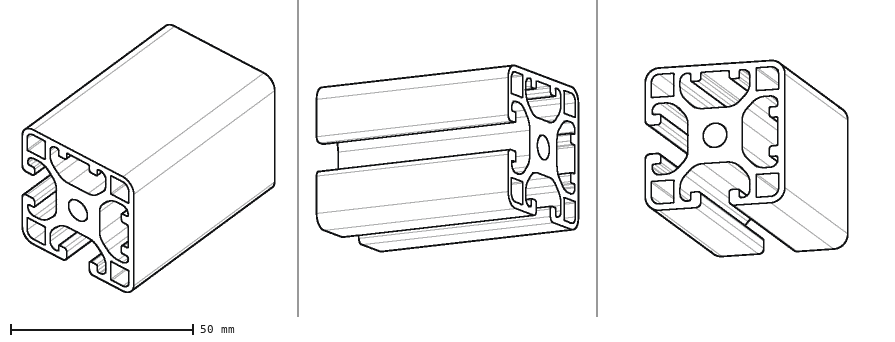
import cadquery as cq
import math

side = 40.0
length = 60.0
outer_radius = 4.0
bore_diameter = 6.8
half = side / 2

chamber_wall = 1.8
chamber_size = 6.4
chamber_outer_radius = outer_radius - chamber_wall
chamber_corner_radius = 0.3

slot_half_width = 10.0
mouth_half_width = 4.0
lip_width = 2.95
lip_depth = 4.45
skin = 2.05
core_half_width = 7.75
web_offset = 2.15
flank_radius = 5.05
pocket_end_radius = 2.15
root_radius = 0.6
lip_corner_radius = 0.4
lip_nose_radius = 0.85
mouth_radius = 1.5
overcut = 0.6

lip_back = mouth_half_width + lip_width
lip_level = half - lip_depth
ceiling = half - skin


def rounded_prism(corners):
    """Prism along Y whose outline has corners (x, z, corner radius)."""
    path = cq.Workplane("XZ")
    count = len(corners)
    for i, (x, z, radius) in enumerate(corners):
        corner = cq.Vector(x, z)
        to_previous = (cq.Vector(*corners[i - 1][:2]) - corner).normalized()
        to_next = (cq.Vector(*corners[(i + 1) % count][:2]) - corner).normalized()
        half_angle = to_previous.getAngle(to_next) / 2
        setback = radius / math.tan(half_angle)
        bulge = radius / math.sin(half_angle) - radius
        start = corner + to_previous * setback
        middle = corner + (to_previous + to_next).normalized() * bulge
        end = corner + to_next * setback
        if i == 0:
            path = path.moveTo(start.x, start.y)
        else:
            path = path.lineTo(start.x, start.y)
        if radius > 0:
            path = path.threePointArc((middle.x, middle.y), (end.x, end.y))
    return path.close().extrude(length / 2, both=True)


def mirrored(right_side):
    """Complete a symmetric outline from its +X corners."""
    return right_side + [(-x, z, radius) for x, z, radius in reversed(right_side)]


def slot(is_open):
    """Slot facing +Z, either open at the face or closed by the skin."""
    right_side = [
        (core_half_width - web_offset, core_half_width, flank_radius),
        (slot_half_width, slot_half_width + web_offset, flank_radius),
        (slot_half_width, ceiling, pocket_end_radius),
        (lip_back, ceiling, root_radius),
        (lip_back, lip_level, lip_corner_radius),
        (mouth_half_width, lip_level, lip_nose_radius),
    ]
    if is_open:
        mouth_edge = mouth_half_width + mouth_radius + overcut
        right_side += [
            (mouth_half_width, half, mouth_radius),
            (mouth_edge, half, 0),
            (mouth_edge, half + overcut, 0),
        ]
    else:
        right_side.append((mouth_half_width, ceiling, lip_corner_radius))
    return rounded_prism(mirrored(right_side))


def corner_chamber():
    """Hollow in the +X +Z corner."""
    outer = half - chamber_wall
    inner = outer - chamber_size
    return rounded_prism([
        (inner, inner, chamber_corner_radius),
        (outer, inner, chamber_corner_radius),
        (outer, outer, chamber_outer_radius),
        (inner, outer, chamber_corner_radius),
    ])


def turned(solid, angle):
    """Rotate about the profile axis; +90 degrees takes +Z to +X."""
    return solid.rotate((0, 0, 0), (0, 1, 0), angle)


result = cq.Workplane("XZ").rect(side, side).extrude(length / 2, both=True)
result = result.edges("|Y").fillet(outer_radius)
result = result.cut(cq.Workplane("XZ").circle(bore_diameter / 2).extrude(length / 2, both=True))

for turn, is_open in [(0, False), (90, False), (180, True), (270, True)]:
    result = result.cut(turned(slot(is_open), turn))
    result = result.cut(turned(corner_chamber(), turn))